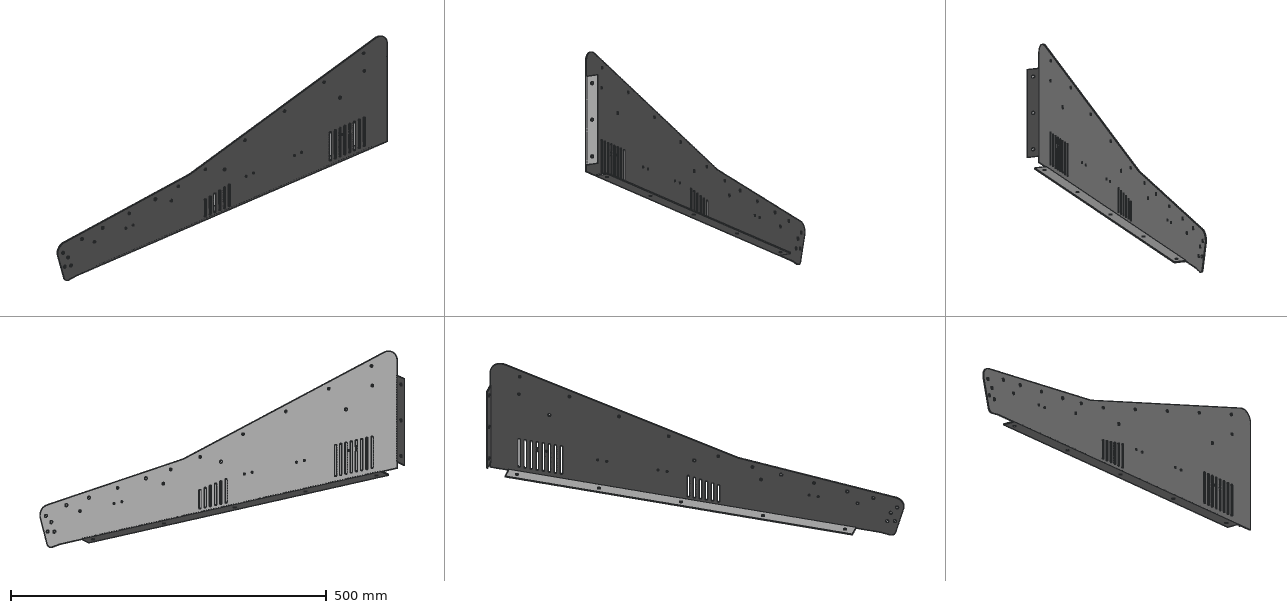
import cadquery as cq
import math


thickness = 2.0
overall_width = 22.0
overall_length = 684.66
back_height = 200.0
nose_drop = 2.0

rear_slope = math.radians(15.0)
front_slope = math.radians(5.57)
nose_slope = math.radians(15.5)
knee_reach = 410.0
back_corner_radius = 20.0
knee_radius = 10.0
nose_top_radius = 15.0
nose_bottom_radius = 8.6
tail_start_reach = 646.6

bottom_flange_start = 31.0
bottom_flange_end = 605.5
back_flange_bottom = 11.0
back_flange_top = 156.0
flange_hole_inset = 10.0
flange_hole_x = flange_hole_inset - overall_width
flange_hole_diameter = 5.0
bottom_flange_first_hole = 47.5
bottom_flange_hole_pitch = 135.75
bottom_flange_hole_count = 5
back_flange_first_hole = 23.5
back_flange_hole_pitch = 60.0
back_flange_hole_count = 3

small_hole_diameter = 4.23
large_hole_diameter = 5.0
slope_row_start = (49.1, 181.2)
slope_row_pitch = 85.0
slope_row_count = 5
small_holes = [(434.0, 83.4), (535.9, 72.6), (47.5, 147.9), (448.3, 62.4), (608.0, 47.8)]
large_holes = [
    (481.6, 77.9),
    (590.9, 67.0),
    (634.1, 62.9),
    (673.3, 52.5),
    (663.0, 40.2),
    (669.9, 25.7),
    (657.1, 23.1),
    (98.0, 117.9),
    (337.8, 77.5),
]

pin_hole_diameter = 3.09
pin_hole_gap = 15.0
pin_hole_height = 47.8
pin_pair_reaches = [77.87, 177.87, 277.87, 527.87]

slot_width = 4.0
slot_pitch = 10.0
rear_slot_reach = 48.0
rear_slot_count = 8
rear_slot_bottom = 9.0
rear_slot_top = 63.0
bridged_slot_index = 3
bridge_height = 6.0
front_slot_reach = 328.0
front_slot_count = 6
front_slot_bottom = 5.9
front_slot_first_top = 46.9
front_slot_top_drop = 1.65


def line_crossing(start, angle, other_start, other_angle):
    """Point where two lines meet; each is a (reach, height) start and a downward angle."""
    across = other_start[0] - start[0]
    down = start[1] - other_start[1]
    turn = math.sin(other_angle - angle)
    travel = (across * math.sin(other_angle) - down * math.cos(other_angle)) / turn
    return (start[0] + travel * math.cos(angle), start[1] - travel * math.sin(angle))


def side_plate():
    rise_above_crown = back_corner_radius * (1 / math.cos(rear_slope) + math.tan(rear_slope) - 1)
    back_top = (0, back_height + rise_above_crown)
    knee = (knee_reach, back_top[1] - knee_reach * math.tan(rear_slope))

    top_arc_reach = overall_length - nose_top_radius
    top_arc_height = (
        knee[1]
        - (top_arc_reach - knee_reach) * math.tan(front_slope)
        - nose_top_radius / math.cos(front_slope)
    )
    edge_point = (top_arc_reach + nose_top_radius / math.cos(nose_slope), top_arc_height)
    edge_angle = math.pi / 2 + nose_slope
    nose_top = line_crossing(knee, front_slope, edge_point, edge_angle)

    bottom_arc_height = nose_bottom_radius - nose_drop
    bottom_arc_reach = (
        edge_point[0]
        - (top_arc_height - bottom_arc_height) * math.tan(nose_slope)
        - nose_bottom_radius / math.cos(nose_slope)
    )
    tail_run = bottom_arc_reach - tail_start_reach
    tail_slope = math.asin(nose_bottom_radius / math.hypot(tail_run, bottom_arc_height))
    tail_slope -= math.atan2(bottom_arc_height, tail_run)
    tail_start = (tail_start_reach, 0)
    nose_bottom = line_crossing(tail_start, tail_slope, edge_point, edge_angle)

    corners = [(0, 0), back_top, knee, nose_top, nose_bottom, tail_start]
    outline = [(-reach, height) for reach, height in corners]
    plate = cq.Workplane("YZ").polyline(outline).close().extrude(-thickness)
    rounds = [
        (back_top, back_corner_radius),
        (knee, knee_radius),
        (nose_top, nose_top_radius),
        (nose_bottom, nose_bottom_radius),
    ]
    for (reach, height), radius in rounds:
        middle = cq.selectors.NearestToPointSelector((-thickness / 2, -reach, height))
        plate = plate.edges(middle).fillet(radius)
    return plate


def bottom_flange():
    length = bottom_flange_end - bottom_flange_start
    flange = cq.Workplane("XY").box(overall_width, length, thickness, centered=False)
    flange = flange.translate((-overall_width, -bottom_flange_end, 0))
    centers = [
        (flange_hole_x, -bottom_flange_first_hole - i * bottom_flange_hole_pitch)
        for i in range(bottom_flange_hole_count)
    ]
    holes = cq.Workplane("XY").pushPoints(centers).circle(flange_hole_diameter / 2).extrude(thickness)
    return flange.cut(holes)


def back_flange():
    height = back_flange_top - back_flange_bottom
    flange = cq.Workplane("XY").box(overall_width, thickness, height, centered=False)
    flange = flange.translate((-overall_width, -thickness, back_flange_bottom))
    centers = [
        (flange_hole_x, back_flange_first_hole + i * back_flange_hole_pitch)
        for i in range(back_flange_hole_count)
    ]
    holes = cq.Workplane("XZ").pushPoints(centers).circle(flange_hole_diameter / 2).extrude(thickness)
    return flange.cut(holes)


def plate_holes(places, diameter):
    centers = [(-reach, height) for reach, height in places]
    return cq.Workplane("YZ").pushPoints(centers).circle(diameter / 2).extrude(-thickness)


def slope_row():
    start_reach, start_height = slope_row_start
    return [
        (
            start_reach + i * slope_row_pitch * math.cos(rear_slope),
            start_height - i * slope_row_pitch * math.sin(rear_slope),
        )
        for i in range(slope_row_count)
    ]


def pin_holes():
    return [(reach + gap, pin_hole_height) for reach in pin_pair_reaches for gap in (0, pin_hole_gap)]


def slot(reach, bottom, top):
    plane = cq.Workplane("YZ").center(-reach, (bottom + top) / 2)
    return plane.slot2D(top - bottom, slot_width, 90).extrude(-thickness)


def rear_slots():
    """Equal slots; one is split by a bridge that carries a pin hole."""
    slots = cq.Workplane("YZ")
    for i in range(rear_slot_count):
        reach = rear_slot_reach + i * slot_pitch
        if i == bridged_slot_index:
            slots = slots.add(slot(reach, rear_slot_bottom, pin_hole_height - bridge_height / 2))
            slots = slots.add(slot(reach, pin_hole_height + bridge_height / 2, rear_slot_top))
        else:
            slots = slots.add(slot(reach, rear_slot_bottom, rear_slot_top))
    return slots.combine()


def front_slots():
    """Slots on a common bottom line whose tops step down toward the nose."""
    slots = cq.Workplane("YZ")
    for i in range(front_slot_count):
        top = front_slot_first_top - i * front_slot_top_drop
        slots = slots.add(slot(front_slot_reach + i * slot_pitch, front_slot_bottom, top))
    return slots.combine()


result = side_plate().union(bottom_flange()).union(back_flange())
result = result.cut(plate_holes(slope_row() + small_holes, small_hole_diameter))
result = result.cut(plate_holes(large_holes, large_hole_diameter))
result = result.cut(plate_holes(pin_holes(), pin_hole_diameter))
result = result.cut(rear_slots()).cut(front_slots())